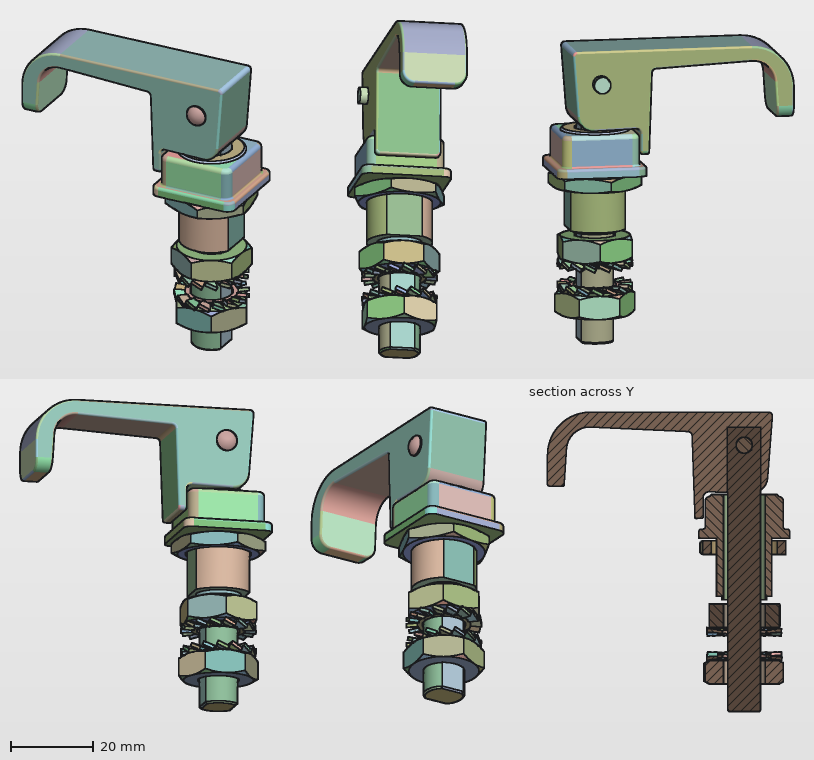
import cadquery as cq
import math


SHAFT_DIAMETER = 10.05
SHAFT_FLATS = 8.0
SHAFT_BOTTOM = -42.1
SHAFT_TOP = 26.9
SHAFT_CHAMFER = 0.45

LEVER_WIDTH = 16.0
LEVER_TOP = 30.7
HOOK_LEFT = -47.8
HOOK_BOTTOM = 12.7
HOOK_INNER_BOTTOM_X = -43.7
HOOK_INNER_CORNER = (-42.7, 27.2)
ARM_INNER_CORNER = (-12.75, 25.85)
SKIRT_BOTTOM = 4.8
SKIRT_BOTTOM_LEFT = -12.0
SKIRT_RIGHT = -9.9
SKIRT_TOP = 11.3
HEEL_CORNER = (5.45, 10.9)
LEVER_TOP_RIGHT = 7.0
HOOK_OUTER_RADIUS = 10.5
HOOK_INNER_RADIUS = 5.5
ARM_INNER_RADIUS = 0.95
SKIRT_INNER_RADIUS = 1.25
HEEL_RADIUS = 4.0
TOP_RIGHT_RADIUS = 1.0
HOOK_END_RADIUS = 3.05
SKIRT_END_RADIUS = 1.0
LEVER_EDGE_FILLET = 0.5

RIVET_Z = 22.65
RIVET_DIAMETER = 4.1
RIVET_TAIL_Y = 10.0
RIVET_HEAD_DIAMETER = 5.1
RIVET_HEAD_RIM = 0.4
RIVET_HEAD_HEIGHT = 1.7

FLANGE_SIZE = 22.1
FLANGE_THICKNESS = 2.3
FLANGE_CORNER_RADIUS = 2.1
FLANGE_TOP_FILLET = 0.65
BLOCK_SIZE = 19.1
BLOCK_TOP = 10.2
BLOCK_CORNER_RADIUS = 2.05
BLOCK_TOP_FILLET = 1.1
BLOCK_FOOT_FILLET = 0.45
BOSS_DIAMETER = 16.9
BOSS_HEIGHT = 0.5
BOSS_TAPER = 45.0
BARREL_DIAMETER = 16.0
BARREL_FLATS = 13.5
BARREL_BOTTOM = -14.05
COLLAR_DIAMETER = 11.0
COLLAR_BOTTOM = -14.9

NUT_SIDES = 6
NUT_ENVELOPE_MARGIN = 0.7
PANEL_NUT_ACROSS_FLATS = 19.95
PANEL_NUT_TOP = -0.5
PANEL_NUT_HEIGHT = 3.4
PANEL_NUT_TURN = 39.5
PANEL_NUT_CHAMFER_ANGLE = 22.0
CAM_NUT_ACROSS_FLATS = 17.0
CAM_NUT_HEIGHT = 5.75
CAM_NUT_CHAMFER_ANGLE = 30.0
UPPER_NUT_TOP = -15.9
UPPER_NUT_TURN = 26.7
LOWER_NUT_TOP = -29.6
LOWER_NUT_TURN = UPPER_NUT_TURN + 180.0 / NUT_SIDES

WASHER_BORE = 10.5
WASHER_RING_DIAMETER = 12.95
WASHER_DIAMETER = 18.1
WASHER_THICKNESS = 0.9
WASHER_HEIGHT = 2.1
TOOTH_COUNT = 16
TOOTH_TILT = 26.0
TOOTH_PITCH = 360.0 / TOOTH_COUNT
UPPER_WASHER_TURN = 4.0
LOWER_WASHER_TURN = UPPER_WASHER_TURN + TOOTH_PITCH / 2


def cylinder(diameter, bottom, top):
    """Upright cylinder on the shaft axis."""
    return cq.Workplane("XY").workplane(offset=bottom).circle(diameter / 2).extrude(top - bottom)


def flatted_cylinder(diameter, flats, bottom, top):
    """Upright cylinder with two flats facing -X and +X."""
    slab = cq.Workplane("XY").workplane(offset=bottom).rect(flats, diameter).extrude(top - bottom)
    return cylinder(diameter, bottom, top).intersect(slab)


def rounded_square(size, corner_radius, bottom, top):
    """Upright square block with rounded vertical edges."""
    block = cq.Workplane("XY").workplane(offset=bottom).rect(size, size).extrude(top - bottom)
    return block.edges("|Z").fillet(corner_radius)


def rivet_shank():
    """Cylinder along Y between the outer face of the lever under the head and the tail end."""
    near_face = -LEVER_WIDTH / 2
    plane = cq.Workplane("XZ", origin=(0, near_face, RIVET_Z))
    return plane.circle(RIVET_DIAMETER / 2).extrude(near_face - RIVET_TAIL_Y)


def make_shaft():
    """Flatted shaft with a chamfered lower end and a cross hole for the rivet."""
    shaft = flatted_cylinder(SHAFT_DIAMETER, SHAFT_FLATS, SHAFT_BOTTOM, SHAFT_TOP)
    return shaft.faces("<Z").chamfer(SHAFT_CHAMFER).cut(rivet_shank())


def make_rivet():
    """Shank with a domed head on the -Y side."""
    near_face = -LEVER_WIDTH / 2
    head_radius = RIVET_HEAD_DIAMETER / 2
    rise = RIVET_HEAD_HEIGHT - RIVET_HEAD_RIM
    dome_radius = (head_radius**2 + rise**2) / (2 * rise)
    half_angle = math.asin(head_radius / dome_radius) / 2
    rim_y = near_face - RIVET_HEAD_RIM
    crown_y = near_face - RIVET_HEAD_HEIGHT
    mid_dome = (
        dome_radius * math.sin(half_angle),
        crown_y + dome_radius * (1 - math.cos(half_angle)),
    )
    head = (
        cq.Workplane("XY", origin=(0, 0, RIVET_Z))
        .moveTo(0, near_face)
        .lineTo(head_radius, near_face)
        .lineTo(head_radius, rim_y)
        .threePointArc(mid_dome, (0, crown_y))
        .close()
        .revolve(360, (0, 0, 0), (0, 1, 0))
    )
    return rivet_shank().union(head)


def make_lever():
    """Hooked handle with a skirt at the front of the pivot block and a socket for the shaft."""
    hook_outer_corner = (HOOK_LEFT, LEVER_TOP)
    skirt_inner_corner = (SKIRT_RIGHT, SKIRT_TOP)
    top_right_corner = (LEVER_TOP_RIGHT, LEVER_TOP)
    outline = [
        (HOOK_LEFT, HOOK_BOTTOM),
        hook_outer_corner,
        top_right_corner,
        HEEL_CORNER,
        skirt_inner_corner,
        (SKIRT_RIGHT, SKIRT_BOTTOM),
        (SKIRT_BOTTOM_LEFT, SKIRT_BOTTOM),
        ARM_INNER_CORNER,
        HOOK_INNER_CORNER,
        (HOOK_INNER_BOTTOM_X, HOOK_BOTTOM),
    ]
    rounded_corners = [
        (hook_outer_corner, HOOK_OUTER_RADIUS),
        (top_right_corner, TOP_RIGHT_RADIUS),
        (HEEL_CORNER, HEEL_RADIUS),
        (skirt_inner_corner, SKIRT_INNER_RADIUS),
        (ARM_INNER_CORNER, ARM_INNER_RADIUS),
        (HOOK_INNER_CORNER, HOOK_INNER_RADIUS),
    ]
    lever = cq.Workplane("XZ").polyline(outline).close().extrude(LEVER_WIDTH / 2, both=True)
    for (x, z), radius in rounded_corners:
        lever = lever.edges("|Y").edges(cq.NearestToPointSelector((x, 0, z))).fillet(radius)

    free_ends = [
        (HOOK_LEFT, HOOK_INNER_BOTTOM_X, HOOK_BOTTOM, HOOK_END_RADIUS),
        (SKIRT_BOTTOM_LEFT, SKIRT_RIGHT, SKIRT_BOTTOM, SKIRT_END_RADIUS),
    ]
    for left, right, bottom, radius in free_ends:
        for side in (-1, 1):
            corner = ((left + right) / 2, side * LEVER_WIDTH / 2, bottom)
            lever = lever.edges("|X").edges(cq.NearestToPointSelector(corner)).fillet(radius)

    lever = lever.faces("<Y or >Y").edges().fillet(LEVER_EDGE_FILLET)
    socket = flatted_cylinder(SHAFT_DIAMETER, SHAFT_FLATS, 0, SHAFT_TOP)
    return lever.cut(socket).cut(rivet_shank())


def make_housing():
    """Square flanged block with a flatted barrel below and a shallow conical boss on top."""
    flange = rounded_square(FLANGE_SIZE, FLANGE_CORNER_RADIUS, 0, FLANGE_THICKNESS)
    flange = flange.faces(">Z").edges().fillet(FLANGE_TOP_FILLET)
    block = rounded_square(BLOCK_SIZE, BLOCK_CORNER_RADIUS, FLANGE_THICKNESS, BLOCK_TOP)
    block = block.faces(">Z").edges().fillet(BLOCK_TOP_FILLET)
    reach = (BLOCK_SIZE + FLANGE_SIZE) / 4
    half_flange = FLANGE_THICKNESS / 2
    foot = cq.selectors.BoxSelector(
        (-reach, -reach, FLANGE_THICKNESS - half_flange),
        (reach, reach, FLANGE_THICKNESS + half_flange),
    )
    body = flange.union(block).edges(foot).fillet(BLOCK_FOOT_FILLET)

    boss = cq.Workplane("XY").workplane(offset=BLOCK_TOP).circle(BOSS_DIAMETER / 2)
    boss = boss.extrude(BOSS_HEIGHT, taper=BOSS_TAPER)
    barrel = flatted_cylinder(BARREL_DIAMETER, BARREL_FLATS, BARREL_BOTTOM, 0)
    collar = cylinder(COLLAR_DIAMETER, COLLAR_BOTTOM, BARREL_BOTTOM)
    bore = cylinder(SHAFT_DIAMETER, COLLAR_BOTTOM, BLOCK_TOP + BOSS_HEIGHT)
    return body.union(boss).union(barrel).union(collar).cut(bore)


def make_nut(across_flats, top, height, turn, chamfer_angle):
    """Hexagon nut body without its bore, with both faces chamfered down to the flats."""
    corner_diameter = across_flats / math.cos(math.pi / NUT_SIDES)
    flat_radius = across_flats / 2
    outer_radius = corner_diameter / 2 + NUT_ENVELOPE_MARGIN
    drop = (outer_radius - flat_radius) * math.tan(math.radians(chamfer_angle))
    bottom = top - height
    hexagon = cq.Workplane("XY").workplane(offset=bottom).polygon(NUT_SIDES, corner_diameter).extrude(height)
    hexagon = hexagon.rotate((0, 0, 0), (0, 0, 1), turn)
    chamfer_outline = [
        (0, bottom),
        (flat_radius, bottom),
        (outer_radius, bottom + drop),
        (outer_radius, top - drop),
        (flat_radius, top),
        (0, top),
    ]
    envelope = cq.Workplane("XZ").polyline(chamfer_outline).close().revolve(360, (0, 0, 0), (0, 1, 0))
    return hexagon.intersect(envelope)


def make_panel_nut():
    """Thin nut that clamps the flange to a panel; its round bore clears the flats of the barrel."""
    nut = make_nut(
        PANEL_NUT_ACROSS_FLATS, PANEL_NUT_TOP, PANEL_NUT_HEIGHT, PANEL_NUT_TURN, PANEL_NUT_CHAMFER_ANGLE
    )
    return nut.cut(cylinder(BARREL_DIAMETER, PANEL_NUT_TOP - PANEL_NUT_HEIGHT, PANEL_NUT_TOP))


def make_cam_nut(top, turn):
    """Nut on the shaft that sets the clamping height of the latch cam."""
    nut = make_nut(CAM_NUT_ACROSS_FLATS, top, CAM_NUT_HEIGHT, turn, CAM_NUT_CHAMFER_ANGLE)
    return nut.cut(cylinder(SHAFT_DIAMETER, top - CAM_NUT_HEIGHT, top))


def make_lock_washer(bottom, turn):
    """Flat ring with flat wedge-shaped teeth twisted about their radial axes."""
    middle = bottom + WASHER_HEIGHT / 2
    tilt = math.radians(TOOTH_TILT)
    tip_radius = WASHER_DIAMETER / 2
    tip_width = (WASHER_HEIGHT - WASHER_THICKNESS * math.cos(tilt)) / math.sin(tilt)
    tooth = (
        cq.Workplane("XY")
        .polyline([(0, 0), (tip_radius, -tip_width / 2), (tip_radius, tip_width / 2)])
        .close()
        .extrude(WASHER_THICKNESS / 2, both=True)
        .rotate((0, 0, 0), (1, 0, 0), -TOOTH_TILT)
        .translate((0, 0, middle))
        .cut(cylinder(WASHER_RING_DIAMETER, bottom, bottom + WASHER_HEIGHT))
    )
    ring_bottom = middle - WASHER_THICKNESS / 2
    ring_top = middle + WASHER_THICKNESS / 2
    washer = cylinder(WASHER_RING_DIAMETER, ring_bottom, ring_top)
    washer = washer.cut(cylinder(WASHER_BORE, ring_bottom, ring_top))
    for index in range(TOOTH_COUNT):
        washer = washer.union(tooth.rotate((0, 0, 0), (0, 0, 1), turn + index * TOOTH_PITCH))
    return washer


lever = make_lever()
rivet = make_rivet()
shaft = make_shaft()
housing = make_housing()
panel_nut = make_panel_nut()
cam_nuts = [
    make_cam_nut(top, turn)
    for top, turn in ((UPPER_NUT_TOP, UPPER_NUT_TURN), (LOWER_NUT_TOP, LOWER_NUT_TURN))
]
upper_washer_bottom = UPPER_NUT_TOP - CAM_NUT_HEIGHT - WASHER_HEIGHT
lock_washers = [
    make_lock_washer(bottom, turn)
    for bottom, turn in ((upper_washer_bottom, UPPER_WASHER_TURN), (LOWER_NUT_TOP, LOWER_WASHER_TURN))
]

bodies = [lever, rivet, shaft, housing, panel_nut, *cam_nuts, *lock_washers]
result = cq.Compound.makeCompound([body.solids().val() for body in bodies])